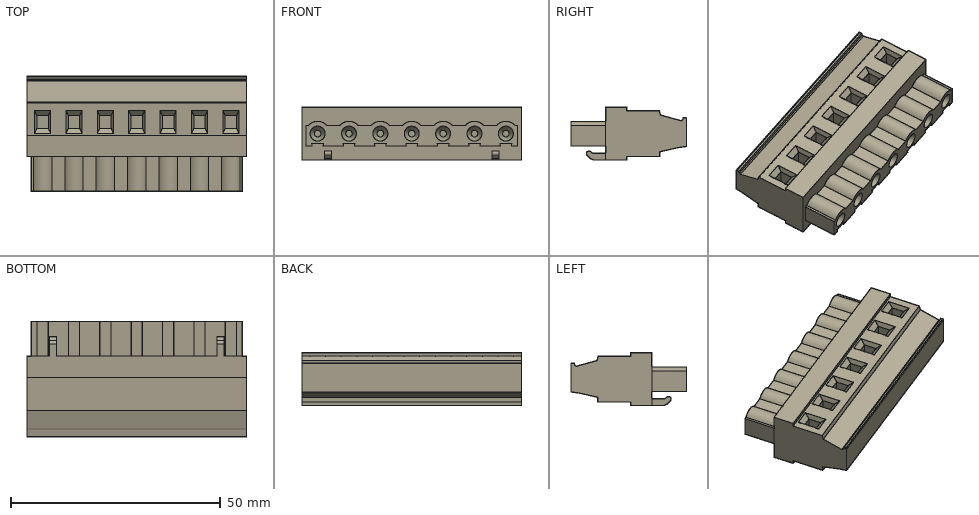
import cadquery as cq
import math


length = 52.5
pole_count = 7
pitch = length / pole_count
height = 12.7
depth_behind_shoulder = 19.3
socket_length = 8.3

shoulder_depth = 5.1
shoulder_step = 0.85
body_back = 12.95
body_back_draft = 0.15
slope_top = 10.8
groove_y = 18.05
groove_z = 9.45
lip_top = 10.2
lip_front_bottom = 9.65
lip_thickness = 0.95
lip_front_draft = 0.15
lip_chamfer_depth = 0.25
lip_chamfer_drop = 0.1
underside_back = 3.25
underside_knee_y = 17.45
underside_knee_z = 3.0
underside_front = 2.0

socket_side_inset = 1.0
socket_bottom = 3.35
socket_top = 8.3
crown_top = 9.3
crown_width = 4.4
notch_root_width = 2.85
notch_mouth_width = 2.6
notch_height = 0.7

hole_z = 6.35
hole_mouth_diameter = 3.55
hole_end_diameter = 1.6
hole_depth = 2.1

window_width = 3.85
window_length = 5.45
window_y = 8.3
window_inner_width = 2.75
window_inner_length = 3.05
window_taper_depth = 1.1
window_depth = 5.25

hook_inset = 6.25
hook_width = 1.75
hook_thickness = 1.7
hook_root_fillet = 0.2
hook_neck_end = 3.1
hook_tip_y = 4.0
hook_tip_z = 1.6
hook_tip_radius = 0.65
hook_toe_y = 2.85
hook_toe_rise_y = 3.7
hook_toe_rise_z = 0.35

pole_positions = [(i + 0.5) * pitch for i in range(pole_count)]


def make_housing():
    body_top = height - shoulder_step
    lip_front = depth_behind_shoulder - lip_thickness
    profile = [
        (0, 0),
        (0, height),
        (shoulder_depth, height),
        (shoulder_depth, body_top),
        (body_back - body_back_draft, body_top),
        (body_back + body_back_draft, slope_top),
        (groove_y, groove_z),
        (lip_front, lip_front_bottom),
        (lip_front + lip_front_draft, lip_top),
        (depth_behind_shoulder - lip_chamfer_depth, lip_top),
        (depth_behind_shoulder, lip_top - lip_chamfer_drop),
        (depth_behind_shoulder, underside_back),
        (underside_knee_y, underside_knee_z),
        (body_back, underside_front),
        (body_back, shoulder_step),
        (shoulder_depth, shoulder_step),
        (shoulder_depth, 0),
    ]
    return cq.Workplane("YZ").polyline(profile).close().extrude(length)


def make_socket_strip():
    right = length - socket_side_inset
    outline = cq.Workplane("XZ").moveTo(socket_side_inset, socket_bottom)
    outline = outline.lineTo(socket_side_inset, socket_top)
    for x in pole_positions:
        outline = outline.lineTo(x - crown_width / 2, socket_top)
        outline = outline.threePointArc((x, crown_top), (x + crown_width / 2, socket_top))
    outline = outline.lineTo(right, socket_top).lineTo(right, socket_bottom)
    strip = outline.close().extrude(socket_length)
    for x in pole_positions:
        strip = strip.cut(make_notch(x))
    return strip


def make_notch(x):
    """Dovetail groove in the underside of the socket strip."""
    notch_top = socket_bottom + notch_height
    profile = [
        (x - notch_mouth_width / 2, socket_bottom),
        (x - notch_root_width / 2, notch_top),
        (x + notch_root_width / 2, notch_top),
        (x + notch_mouth_width / 2, socket_bottom),
    ]
    return cq.Workplane("XZ").polyline(profile).close().extrude(socket_length)


def make_contact_hole(x):
    cone = cq.Solid.makeCone(
        hole_mouth_diameter / 2,
        hole_end_diameter / 2,
        hole_depth,
        cq.Vector(x, -socket_length, hole_z),
        cq.Vector(0, 1, 0),
    )
    return cq.Workplane(cone)


def make_window(x):
    top = height - shoulder_step
    mouth = (
        cq.Workplane("XY", origin=(x, window_y, top))
        .rect(window_width, window_length)
        .workplane(offset=-window_taper_depth)
        .rect(window_inner_width, window_inner_length)
        .loft(ruled=True)
    )
    shaft = (
        cq.Workplane("XY", origin=(x, window_y, top - window_taper_depth))
        .rect(window_inner_width, window_inner_length)
        .extrude(window_taper_depth - window_depth)
    )
    return mouth.union(shaft)


def make_hook(x):
    root_sag = hook_root_fillet * (1 - math.sqrt(0.5))
    slant = hook_tip_radius * math.sqrt(0.5)
    profile = (
        cq.Workplane("YZ", origin=(x - hook_width / 2, 0, 0))
        .lineTo(0, hook_thickness + hook_root_fillet)
        .threePointArc(
            (-root_sag, hook_thickness + root_sag),
            (-hook_root_fillet, hook_thickness),
        )
        .lineTo(-hook_neck_end, hook_thickness)
        .lineTo(-hook_tip_y + slant, hook_tip_z + slant)
        .threePointArc(
            (-hook_tip_y - slant, hook_tip_z + slant),
            (-hook_tip_y - slant, hook_tip_z - slant),
        )
        .lineTo(-hook_toe_rise_y, hook_toe_rise_z)
        .lineTo(-hook_toe_y, 0)
        .close()
    )
    return profile.extrude(hook_width)


result = make_housing().union(make_socket_strip())
for hook_x in (hook_inset, length - hook_inset):
    result = result.union(make_hook(hook_x))
for pole_x in pole_positions:
    result = result.cut(make_contact_hole(pole_x))
    result = result.cut(make_window(pole_x))